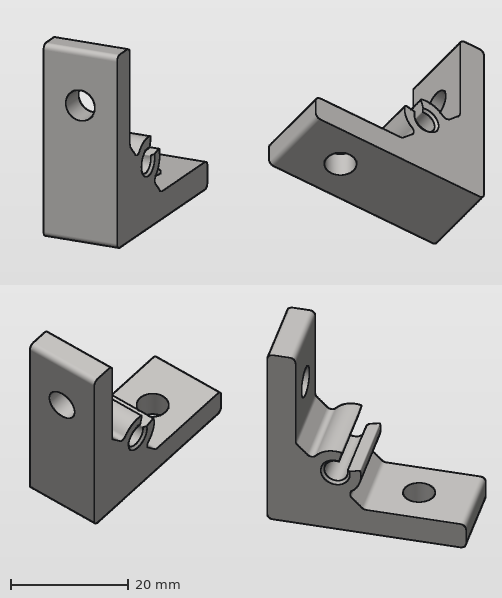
import cadquery as cq
import math

LEG = 35.0
WIDTH = 14.0
THICKNESS = 5.0
GUSSET_END = 17.0
ROUND = 1.0

HOLE_DIAMETER = 5.5
HOLE_OFFSET = 25.0

CLIP_CENTER = 12.0
CLIP_RADIUS = 4.5
BORE_RADIUS = 2.05
BORE_CHAMFER = 0.5
MOUTH_ANGLE = 60.0
TIP_ROUND = 0.25

DIAGONAL = 45.0
EDGE_TOLERANCE = 0.05


def clip_point(radius, angle):
    """Point in the YZ plane, polar about the clip axis."""
    a = math.radians(angle)
    return CLIP_CENTER + radius * math.cos(a), CLIP_CENTER + radius * math.sin(a)


def round_edges(body, points, radius):
    """Fillet the edges parallel to X that pass through the given YZ points."""
    edges = body.edges("|X")
    picked = []
    for y, z in points:
        box = cq.selectors.BoxSelector(
            (-WIDTH, y - EDGE_TOLERANCE, z - EDGE_TOLERANCE),
            (WIDTH, y + EDGE_TOLERANCE, z + EDGE_TOLERANCE),
        )
        picked += edges.edges(box).vals()
    return body.newObject(picked).fillet(radius)


def bracket():
    """L section with a diagonal gusset in its inner corner."""
    outline = [
        (0, 0),
        (LEG, 0),
        (LEG, THICKNESS),
        (GUSSET_END, THICKNESS),
        (THICKNESS, GUSSET_END),
        (THICKNESS, LEG),
        (0, LEG),
    ]
    return cq.Workplane("YZ").polyline(outline).close().extrude(WIDTH / 2, both=True)


def clip_cylinder(radius):
    """Cylinder on the clip axis, across the full width."""
    return (
        cq.Workplane("YZ")
        .center(CLIP_CENTER, CLIP_CENTER)
        .circle(radius)
        .extrude(WIDTH / 2, both=True)
    )


def bore_chamfers():
    """Cones that widen both ends of the bore."""
    cones = cq.Workplane()
    for side in (-1, 1):
        cone = cq.Solid.makeCone(
            BORE_RADIUS + BORE_CHAMFER,
            BORE_RADIUS,
            BORE_CHAMFER,
            cq.Vector(side * WIDTH / 2, CLIP_CENTER, CLIP_CENTER),
            cq.Vector(-side, 0, 0),
        )
        cones = cones.add(cone)
    return cones.combine()


def clip_mouth():
    """Wedge with its point on the clip axis."""
    reach = 2 * CLIP_RADIUS
    wedge = [
        (CLIP_CENTER, CLIP_CENTER),
        clip_point(reach, DIAGONAL - MOUTH_ANGLE / 2),
        clip_point(reach, DIAGONAL + MOUTH_ANGLE / 2),
    ]
    return cq.Workplane("YZ").polyline(wedge).close().extrude(WIDTH / 2, both=True)


def leg_holes():
    """One hole through each leg, placed symmetrically about the diagonal."""
    wall = cq.Workplane("XZ").center(0, HOLE_OFFSET).circle(HOLE_DIAMETER / 2).extrude(-THICKNESS)
    base = cq.Workplane("XY").center(0, HOLE_OFFSET).circle(HOLE_DIAMETER / 2).extrude(THICKNESS)
    return wall.union(base)


body = bracket().union(clip_cylinder(CLIP_RADIUS))
body = body.cut(clip_cylinder(BORE_RADIUS)).cut(clip_mouth())

gusset_drop = (2 * CLIP_CENTER - THICKNESS - GUSSET_END) / math.sqrt(2)
root_angle = 180 - math.degrees(math.acos(gusset_drop / CLIP_RADIUS))
root_corners = [
    clip_point(CLIP_RADIUS, DIAGONAL - root_angle),
    clip_point(CLIP_RADIUS, DIAGONAL + root_angle),
]
leg_corners = [(0, 0), (LEG, 0), (LEG, THICKNESS), (0, LEG), (THICKNESS, LEG)]
gusset_corners = [(GUSSET_END, THICKNESS), (THICKNESS, GUSSET_END)]
body = round_edges(body, leg_corners + gusset_corners + root_corners, ROUND)

mouth_sides = [DIAGONAL - MOUTH_ANGLE / 2, DIAGONAL + MOUTH_ANGLE / 2]
tips = [clip_point(r, a) for r in (BORE_RADIUS, CLIP_RADIUS) for a in mouth_sides]
body = round_edges(body, tips, TIP_ROUND)

result = body.cut(bore_chamfers()).cut(leg_holes())